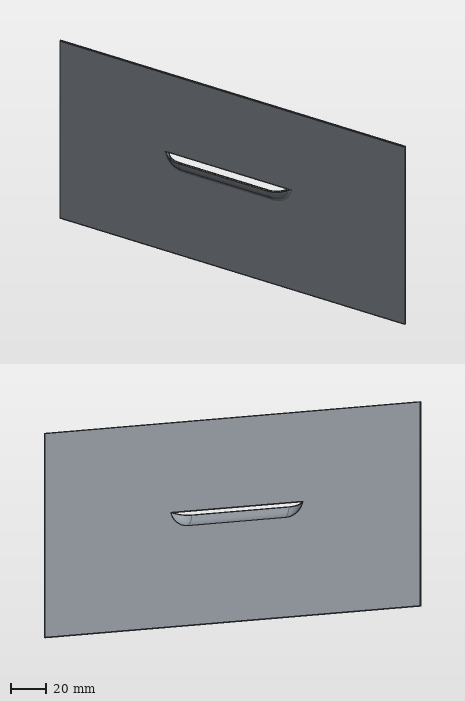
import cadquery as cq
import math

SHEET_WIDTH = 224.0
SHEET_HEIGHT = 118.8
THICKNESS = 1.1
TOTAL_DEPTH = 7.2

LOUVER_CENTRE_X = -2.7
STRAIGHT_LENGTH = 58.0
OPENING_Z = 7.2
AXIS_ABOVE_OPENING = 2.0
LIP_DROP = 1.1
BULGE_RADIUS = 13.0
ROOT_RADIUS = 1.8

AXIS_Z = OPENING_Z + AXIS_ABOVE_OPENING
LIP_Y = THICKNESS - TOTAL_DEPTH
LIP_BELOW_AXIS = AXIS_ABOVE_OPENING + LIP_DROP
BULGE_CENTRE_Y = LIP_Y + math.sqrt(BULGE_RADIUS**2 - LIP_BELOW_AXIS**2)


def sheet():
    return cq.Workplane("XY").box(SHEET_WIDTH, THICKNESS, SHEET_HEIGHT).translate((0, THICKNESS / 2, 0))


def bulge(radius, back_y):
    """Straight circular-segment bar with spherical-cap ends, flat at back_y."""
    half_height = math.sqrt(radius**2 - (BULGE_CENTRE_Y - back_y) ** 2)
    crest_y = BULGE_CENTRE_Y - radius
    left_x = LOUVER_CENTRE_X - STRAIGHT_LENGTH / 2
    right_x = LOUVER_CENTRE_X + STRAIGHT_LENGTH / 2
    body = (
        cq.Workplane("YZ", origin=(left_x, 0, AXIS_Z))
        .moveTo(back_y, -half_height)
        .threePointArc((crest_y, 0), (back_y, half_height))
        .close()
        .extrude(STRAIGHT_LENGTH)
    )
    diagonal = math.sqrt(0.5) * half_height
    arc_mid_y = BULGE_CENTRE_Y - math.sqrt(radius**2 - diagonal**2)
    for end_x in (left_x, right_x):
        cap = (
            cq.Workplane("XY", origin=(end_x, 0, AXIS_Z))
            .moveTo(0, back_y)
            .lineTo(half_height, back_y)
            .threePointArc((diagonal, arc_mid_y), (0, crest_y))
            .close()
            .revolve(360, (0, 0, 0), (0, 1, 0))
        )
        body = body.union(cap)
    return body


def root_edges(body):
    """Edges where the bulge meets the front of the sheet, away from the sheet border."""
    reach_x = STRAIGHT_LENGTH / 2 + 2 * BULGE_RADIUS
    reach_y = THICKNESS / 10
    reach_z = 2 * BULGE_RADIUS
    selector = cq.selectors.BoxSelector(
        (LOUVER_CENTRE_X - reach_x, -reach_y, AXIS_Z - reach_z),
        (LOUVER_CENTRE_X + reach_x, reach_y, AXIS_Z + reach_z),
    )
    return body.edges(selector)


def opening_cutter():
    """Space in front of and within the sheet above the louver's sloping open edge."""
    top_z = SHEET_HEIGHT / 2
    front_y = 2 * LIP_Y
    front_z = OPENING_Z - 2 * LIP_DROP
    return (
        cq.Workplane("YZ")
        .moveTo(THICKNESS, OPENING_Z)
        .lineTo(0, OPENING_Z)
        .lineTo(front_y, front_z)
        .lineTo(front_y, top_z)
        .lineTo(THICKNESS, top_z)
        .close()
        .extrude(SHEET_WIDTH / 2, both=True)
    )


pressed = root_edges(sheet().union(bulge(BULGE_RADIUS, THICKNESS / 2))).fillet(ROOT_RADIUS)
pressed = pressed.cut(bulge(BULGE_RADIUS - THICKNESS, THICKNESS))

cutter = opening_cutter()
result = pressed.cut(cutter).union(sheet().intersect(cutter))